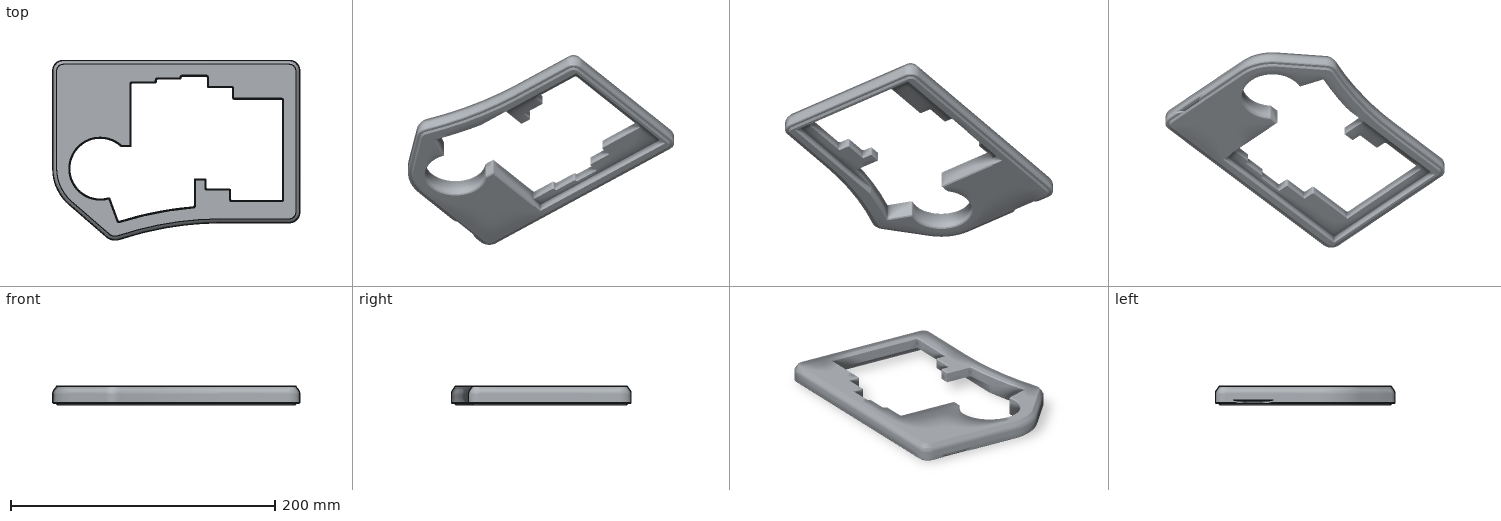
import cadquery as cq
import math

length = 187.0
straight_depth = 123.0
height = 14.4
rim_wall = 13.0
corner_radius = 8.0

well_x = 36.0
well_y = 41.0
well_radius = well_x - rim_wall
slant_angle = math.radians(40.85)

front_curve_start_x = 128.0
front_curve_radius = 245.0
front_curve_center_y = -front_curve_radius
tip_radius = 10.0

top_bevel_inset = 3.0
top_bevel_drop = 4.25
top_bevel_blend = 4.9
foot_height = 1.4
foot_inset = 2.6
foot_chamfer = 1.2
bottom_edge_chamfer = 0.6

opening_left = 59.2
key_columns = [(78.4, 105.9), (97.2, 108.8), (117.0, 110.9), (136.2, 102.5), (length - rim_wall, 93.5)]
front_steps = [(134.6, 16.8), (116.0, 25.5), (107.2, 33.2)]
block_front = 57.8
thumb_corner_x = 49.7
thumb_spike_x = 43.0
opening_corner_radius = 1.0
opening_chamfer = 0.8

plate_thickness = 8.0
cavity_wall = 9.0
cavity_right_wall = 6.0

notch_center_y = 94.3
notch_throat_width = 11.6
notch_flare_radius = 9.2
notch_throat_fillet = 1.5
notch_ceiling = 3.2
notch_lip_chamfer = 0.6


def front_curve_y(x, radius):
    """Y of the front curve, or of a curve concentric with it, at position x."""
    return front_curve_center_y + math.sqrt(radius**2 - (x - front_curve_start_x) ** 2)


def sharp_tip():
    """Point where the slanted edge meets the front curve, before rounding.

    The slanted edge is followed from its tangent point on the corner arc; base_x and
    base_y place that point relative to the center of the front curve.
    """
    normal_x = -math.sin(slant_angle)
    normal_y = -math.cos(slant_angle)
    along_x = math.cos(slant_angle)
    along_y = -math.sin(slant_angle)
    base_x = well_x + well_x * normal_x - front_curve_start_x
    base_y = well_y + well_x * normal_y - front_curve_center_y
    projection = base_x * along_x + base_y * along_y
    excess = base_x**2 + base_y**2 - front_curve_radius**2
    travel = -projection - math.sqrt(projection**2 - excess)
    return (
        front_curve_start_x + base_x + travel * along_x,
        front_curve_center_y + base_y + travel * along_y,
    )


def outline():
    """Prism of the outer outline with rounded corners, standing on the foot ledge."""
    tip_x, tip_y = sharp_tip()
    curve_mid_x = (tip_x + front_curve_start_x) / 2
    curve_mid = (curve_mid_x, front_curve_y(curve_mid_x, front_curve_radius))
    half_turn = (math.pi / 2 - slant_angle) / 2
    arc_mid = (well_x - well_x * math.cos(half_turn), well_y - well_x * math.sin(half_turn))
    arc_end = (well_x - well_x * math.sin(slant_angle), well_y - well_x * math.cos(slant_angle))
    prism = (
        cq.Workplane("XY", origin=(0, 0, foot_height))
        .moveTo(0, straight_depth)
        .lineTo(0, well_y)
        .threePointArc(arc_mid, arc_end)
        .lineTo(tip_x, tip_y)
        .threePointArc(curve_mid, (front_curve_start_x, 0))
        .lineTo(length, 0)
        .lineTo(length, straight_depth)
        .close()
        .extrude(height - foot_height)
    )
    corners = [(0, straight_depth), (length, straight_depth), (length, 0)]
    for x, y in corners:
        prism = prism.edges(cq.NearestToPointSelector((x, y, height / 2))).fillet(corner_radius)
    return prism.edges(cq.NearestToPointSelector((tip_x, tip_y, height / 2))).fillet(tip_radius)


def edges_at_height(z):
    """Selector for the edges lying in the horizontal plane at z."""
    band = 0.05
    return cq.selectors.BoxSelector(
        (-length, -length, z - band), (2 * length, 2 * length, z + band), boundingbox=True
    )


def outer_body():
    """Outer solid: beveled and blended top edge, stepped-in foot below."""
    prism = outline()
    foot = (
        prism.faces("<Z").wires().toPending().offset2D(-foot_inset)
        .extrude(-foot_height, combine=False)
        .faces("<Z").edges().chamfer(foot_chamfer)
    )
    body = prism.faces("<Z").edges().chamfer(bottom_edge_chamfer)
    body = body.faces(">Z").chamfer(top_bevel_drop, top_bevel_inset)
    body = body.edges(edges_at_height(height - top_bevel_drop)).fillet(top_bevel_blend)
    return body.union(foot)


def opening_cutter():
    """Prism of the through opening: key field, round well and thumb area."""
    block_well_x = well_x + math.sqrt(well_radius**2 - (block_front - well_y) ** 2)
    spike_y = well_y - math.sqrt(well_radius**2 - (thumb_spike_x - well_x) ** 2)
    inner_radius = front_curve_radius + rim_wall
    tongue_left = front_steps[-1][0]
    curve_mid_x = (thumb_corner_x + tongue_left) / 2
    curve_mid = (curve_mid_x, front_curve_y(curve_mid_x, inner_radius))
    thumb_corner_y = front_curve_y(thumb_corner_x, inner_radius)

    block_corner = (opening_left, block_front)
    points = [block_corner]
    left = opening_left
    for right, back in key_columns:
        points += [(left, back), (right, back)]
        left = right
    for left, front in front_steps:
        points += [(right, front), (left, front)]
        right = left
    cutter = (
        cq.Workplane("XY")
        .polyline(points)
        .lineTo(tongue_left, front_curve_y(tongue_left, inner_radius))
        .threePointArc(curve_mid, (thumb_corner_x, thumb_corner_y))
        .lineTo(thumb_spike_x, spike_y)
        .threePointArc((well_x - well_radius, well_y), (block_well_x, block_front))
        .close()
        .extrude(height)
    )
    tongue_corner = front_steps[-1]
    rounded = cutter.edges("|Z")
    for x, y in (block_corner, tongue_corner):
        corner_edge = cq.NearestToPointSelector((x, y, height / 2))
        rounded = rounded.edges(cq.selectors.InverseSelector(corner_edge))
    return rounded.fillet(opening_corner_radius)


def key_cavity():
    """Box hollowed out below the key plate, open at the bottom."""
    return cq.Workplane("XY").box(
        length - cavity_right_wall - opening_left,
        straight_depth - 2 * cavity_wall,
        height - plate_thickness,
        centered=False,
    ).translate((opening_left, cavity_wall, 0))


def side_notch():
    """Notch in the lower left side, its mouth flaring out through two quarter arcs."""
    half_throat = notch_throat_width / 2
    half_mouth = half_throat + notch_flare_radius
    r = notch_flare_radius
    arc_in = r * (1 - math.cos(math.pi / 4))
    arc_across = r * math.sin(math.pi / 4)
    notch = (
        cq.Workplane("XY", origin=(0, notch_center_y, foot_height))
        .moveTo(0, -half_mouth)
        .threePointArc((arc_in, arc_across - half_mouth), (r, -half_throat))
        .lineTo(r, half_throat)
        .threePointArc((arc_in, half_mouth - arc_across), (0, half_mouth))
        .close()
        .extrude(notch_ceiling + notch_lip_chamfer - foot_height)
        .edges("|Z and >X").fillet(notch_throat_fillet)
    )
    profile = (
        cq.Workplane("XZ", origin=(0, notch_center_y + half_mouth, 0))
        .moveTo(0, foot_height)
        .lineTo(0, notch_ceiling + notch_lip_chamfer)
        .lineTo(notch_lip_chamfer, notch_ceiling)
        .lineTo(r, notch_ceiling)
        .lineTo(r, foot_height)
        .close()
        .extrude(2 * half_mouth)
    )
    return notch.intersect(profile)


def case_top():
    """The finished part."""
    body = outer_body().cut(opening_cutter())
    for face in (">Z", "<Z"):
        body = body.faces(face).wires().item(1).edges().chamfer(opening_chamfer)
    return body.cut(key_cavity()).cut(side_notch())


result = case_top()